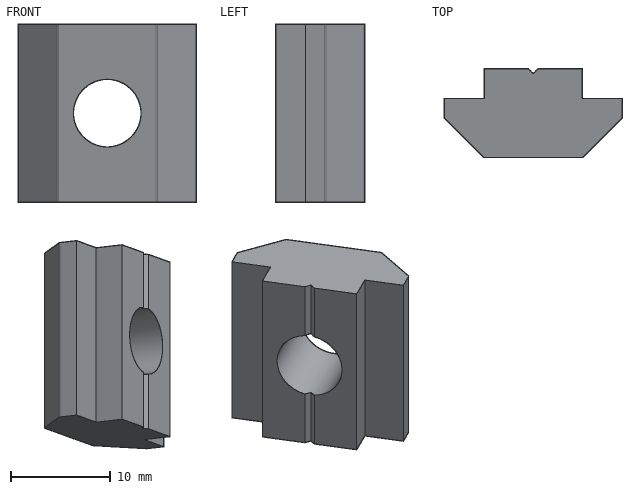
import cadquery as cq

width = 18.0
depth = 9.0
length = 18.0

neck_width = 9.9
neck_height = 3.0
flange_edge_height = 2.0
bevel_edge_radius = 0.2

groove_width = 1.0
groove_depth = groove_width / 2

hole_diameter = 6.8

shoulder_y = depth - neck_height
bevel_y = shoulder_y - flange_edge_height
base_width = width - 2 * bevel_y


def make_body():
    """Extrude the T-shaped section along Z and round the bevel edges."""
    half_section = [
        (base_width / 2, 0),
        (width / 2, bevel_y),
        (width / 2, shoulder_y),
        (neck_width / 2, shoulder_y),
        (neck_width / 2, depth),
    ]
    mirrored = [(-x, y) for x, y in reversed(half_section)]
    body = cq.Workplane("XY").polyline(half_section + mirrored).close().extrude(length)
    bevel_edges = cq.selectors.BoxSelector(
        (-width, -depth, 0),
        (width, bevel_y + flange_edge_height / 2, length),
    )
    return body.edges("|Z").edges(bevel_edges).fillet(bevel_edge_radius)


def make_groove():
    """V-shaped cutter running the full length of the neck face."""
    section = [
        (-groove_width / 2, depth),
        (0, depth - groove_depth),
        (groove_width / 2, depth),
    ]
    return cq.Workplane("XY").polyline(section).close().extrude(length)


def make_hole():
    """Cylinder through the middle of the nut along Y."""
    center = cq.Vector(0, 0, length / 2)
    along_y = cq.Vector(0, 1, 0)
    return cq.Workplane(cq.Solid.makeCylinder(hole_diameter / 2, depth, center, along_y))


result = make_body().cut(make_groove()).cut(make_hole())